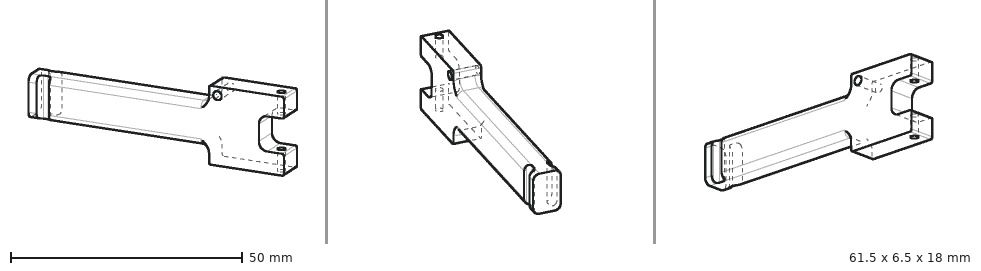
import cadquery as cq

length = 61.5
thickness = 6.5
head_size = 18.0
head_start = length - head_size
head_corner_radius = 0.5

handle_height = 9.85
handle_edge_radius = 1.5
neck_radius = 1.95

slot_depth = 6.0
slot_height = 8.0
slot_corner_radius = 2.0

face_hole_diameter = 2.0
face_hole_inset = 2.0
pin_hole_diameter = 1.7
pin_hole_inset = 2.0
pin_hole_front_inset = 3.0

groove_start = 1.95
groove_width = 2.95
groove_depth = handle_edge_radius
groove_floor_radius = 1.0

selection_margin = 0.05


def centered_block(start, end, width, height):
    """Block from X = start to X = end, centred on the X axis."""
    return cq.Workplane("XY").box(end - start, width, height).translate(((start + end) / 2, 0, 0))


def edges_near(start, end, bottom, top):
    """Selector for edges centred within an X and Z range and the part's thickness."""
    half_depth = thickness / 2 + selection_margin
    return cq.selectors.BoxSelector(
        (start - selection_margin, -half_depth, bottom - selection_margin),
        (end + selection_margin, half_depth, top + selection_margin),
    )


def make_blended_body():
    """Handle flowing into the head, trimmed to the part's thickness."""
    handle = centered_block(0, head_start, thickness, handle_height).edges("|X").fillet(handle_edge_radius)
    blend_width = thickness + 4 * neck_radius
    head = centered_block(head_start, length, blend_width, head_size)
    joint_zone = edges_near(head_start, head_start, -handle_height / 2, handle_height / 2)
    body = handle.union(head).edges(joint_zone).fillet(neck_radius)
    return body.intersect(centered_block(0, length, thickness, head_size))


def make_fork_slot():
    """Slot open at the head's end, with rounded inner corners."""
    slot = centered_block(length - slot_depth, length, thickness, slot_height)
    return slot.edges("|Y and <X").fillet(slot_corner_radius)


def round_head_corners(body):
    """Round the head's outer corners and the slot mouth."""
    upper_corners = edges_near(head_start, length, head_size / 2, head_size / 2)
    lower_corners = edges_near(head_start, length, -head_size / 2, -head_size / 2)
    mouth_corners = edges_near(length, length, -slot_height / 2, slot_height / 2)
    corners = body.edges("|Y").edges(upper_corners + lower_corners + mouth_corners)
    return corners.fillet(head_corner_radius)


def make_groove(side):
    """Groove along Z in the face at Y = side * thickness / 2."""
    groove = centered_block(groove_start, groove_start + groove_width, 2 * groove_depth, handle_height)
    groove = groove.edges("|Z").fillet(groove_floor_radius)
    return groove.translate((0, side * thickness / 2, 0))


def make_face_hole():
    """Hole through the thickness at the head's upper handle-side corner."""
    hole = cq.Workplane("XZ").circle(face_hole_diameter / 2).extrude(thickness, both=True)
    return hole.translate((head_start + face_hole_inset, 0, head_size / 2 - face_hole_inset))


def make_pin_hole():
    """Hole along Z through both prongs of the fork."""
    hole = cq.Workplane("XY").circle(pin_hole_diameter / 2).extrude(head_size, both=True)
    return hole.translate((length - pin_hole_inset, pin_hole_front_inset - thickness / 2, 0))


result = round_head_corners(make_blended_body().cut(make_fork_slot()))
for side in (-1, 1):
    result = result.cut(make_groove(side))
result = result.cut(make_face_hole()).cut(make_pin_hole())